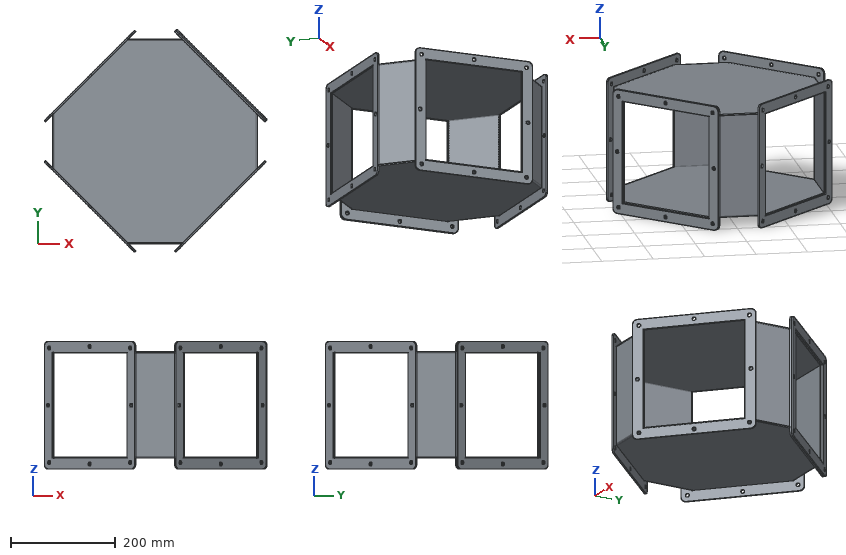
import cadquery as cq
import math

FLANGE_SIDE = 244.5
FLANGE_THICKNESS = 3.5
FLANGE_CORNER_RADIUS = 10.0
OPENING_SIDE = 202.0
HOLE_DIAMETER = 7.3
CORNER_HOLE_OFFSET = 109.5
MIDDLE_HOLE_OFFSET = 112.5
FLANGE_ANGLES = (45, 135, 225, 315)

GASKET_THICKNESS = 3.0
GASKET_ANGLE = 45

OVERALL_WIDTH = 426.5
FLANGE_OUTER_DISTANCE = (OVERALL_WIDTH * math.sqrt(2) - FLANGE_SIDE - GASKET_THICKNESS) / 2
FLANGE_INNER_DISTANCE = FLANGE_OUTER_DISTANCE - FLANGE_THICKNESS

HOUSING_WIDTH = 392.0
SHEET_THICKNESS = 2.45
BEND_RADIUS = 2.77
HOUSING_BOTTOM = -OPENING_SIDE / 2
HOUSING_TOP = 103.0
HOUSING_HEIGHT = HOUSING_TOP - HOUSING_BOTTOM
HOUSING_MIDDLE = (HOUSING_TOP + HOUSING_BOTTOM) / 2


def frame(thickness, inner_distance, angle):
    """Square frame with eight holes, facing outward at the given angle about Z."""
    plate = (
        cq.Workplane("YZ", origin=(inner_distance, 0, 0))
        .rect(FLANGE_SIDE, FLANGE_SIDE)
        .extrude(thickness)
        .edges("|X")
        .fillet(FLANGE_CORNER_RADIUS)
    )
    corner_holes = [
        (y, z)
        for y in (-CORNER_HOLE_OFFSET, CORNER_HOLE_OFFSET)
        for z in (-CORNER_HOLE_OFFSET, CORNER_HOLE_OFFSET)
    ]
    middle_holes = [
        (MIDDLE_HOLE_OFFSET, 0),
        (-MIDDLE_HOLE_OFFSET, 0),
        (0, MIDDLE_HOLE_OFFSET),
        (0, -MIDDLE_HOLE_OFFSET),
    ]
    cutouts = (
        cq.Workplane("YZ", origin=(inner_distance, 0, 0))
        .rect(OPENING_SIDE, OPENING_SIDE)
        .pushPoints(corner_holes + middle_holes)
        .circle(HOLE_DIAMETER / 2)
        .extrude(thickness)
    )
    return plate.cut(cutouts).rotate((0, 0, 0), (0, 0, 1), angle).solids()


def bent_sheet():
    """Roof plate with a wall bent down along each X side, centred on the housing middle.

    The roof stops at the inner faces of the other sheet's walls, and the walls stop
    at the inner face of the other sheet's plate, so the sheets meet edge to edge.
    """
    roof_length = HOUSING_WIDTH - 2 * SHEET_THICKNESS
    outside = (
        cq.Workplane("XY")
        .box(HOUSING_WIDTH, roof_length, HOUSING_HEIGHT)
        .edges("|Y and >Z")
        .fillet(BEND_RADIUS)
    )
    inside = (
        cq.Workplane("XY")
        .box(roof_length, roof_length, HOUSING_HEIGHT)
        .edges("|Y and >Z")
        .fillet(BEND_RADIUS - SHEET_THICKNESS)
        .translate((0, 0, -SHEET_THICKNESS))
    )
    wall_end_trim = (
        cq.Workplane("XY", origin=(0, 0, -HOUSING_HEIGHT / 2))
        .rect(HOUSING_WIDTH, HOUSING_WIDTH)
        .extrude(SHEET_THICKNESS)
    )
    flange_planes = (
        cq.Workplane("XY")
        .box(2 * FLANGE_INNER_DISTANCE, 2 * FLANGE_INNER_DISTANCE, HOUSING_HEIGHT)
        .rotate((0, 0, 0), (0, 0, 1), FLANGE_ANGLES[0])
    )
    return outside.cut(inside).cut(wall_end_trim).intersect(flange_planes).solids()


upper_sheet = bent_sheet().translate((0, 0, HOUSING_MIDDLE))

lower_sheet = (
    bent_sheet()
    .rotate((0, 0, 0), (1, 0, 0), 180)
    .rotate((0, 0, 0), (0, 0, 1), 90)
    .translate((0, 0, HOUSING_MIDDLE))
)

flanges = [frame(FLANGE_THICKNESS, FLANGE_INNER_DISTANCE, angle) for angle in FLANGE_ANGLES]

gasket = frame(GASKET_THICKNESS, FLANGE_OUTER_DISTANCE, GASKET_ANGLE)

result = cq.Compound.makeCompound(
    [upper_sheet.val(), lower_sheet.val(), *[flange.val() for flange in flanges], gasket.val()]
)